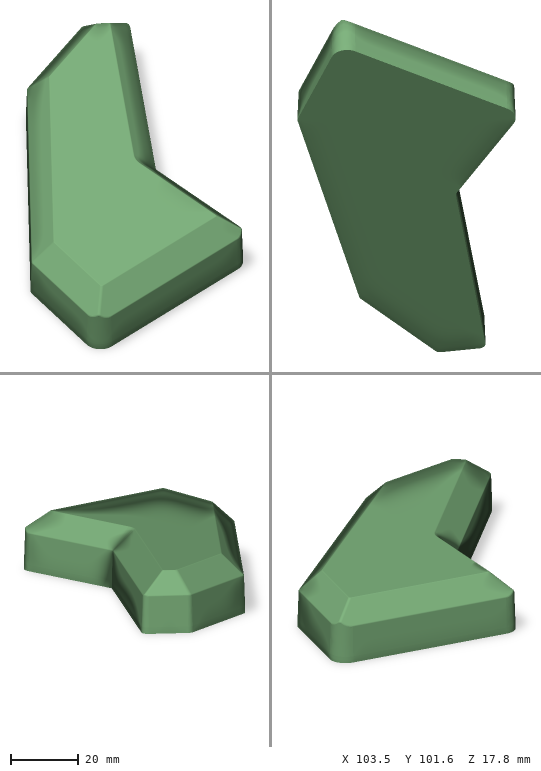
import cadquery as cq
import math

total_height = 17.8
skirt_height = 2.0
knee_height = 11.5
wall_height = knee_height - skirt_height
bevel_height = total_height - knee_height

wall_draft = 2.0
wall_inset = wall_height * math.tan(math.radians(wall_draft))
bevel_inset = 6.6
bevel_angle = math.degrees(math.atan2(bevel_inset, bevel_height))

large_corner_radius = 5.0
small_corner_radius = 2.0
fine_hip_radius = 1.0
break_radius = 0.5

square_corner = (0, 0)
inner_corner = (-40.3, 0)
tip_corner = (-94.8, 40.8)
tip_heel = (-103.7, 29.2)
back_corner = (-94.1, -2.8)
front_corner = (-34.7, -57.1)
toe_corner = (0, -62.4)
plan_corners = [
    square_corner,
    inner_corner,
    tip_corner,
    tip_heel,
    back_corner,
    front_corner,
    toe_corner,
]

corner_roundings = [
    (square_corner, large_corner_radius, fine_hip_radius),
    (toe_corner, large_corner_radius, fine_hip_radius),
    (tip_corner, small_corner_radius, fine_hip_radius),
    (tip_heel, small_corner_radius, small_corner_radius),
    (back_corner, small_corner_radius, small_corner_radius),
    (front_corner, small_corner_radius, small_corner_radius),
]


def plan_outline(base_height):
    """Sharp-cornered plan outline at the given height."""
    return cq.Workplane("XY", origin=(0, 0, base_height)).polyline(plan_corners).close()


def fillet_edge_near(body, corner, height, radius):
    """Round the edge whose middle is closest to a plan corner at a height."""
    nearest = cq.selectors.NearestToPointSelector((*corner, height))
    return body.edges(nearest).fillet(radius)


def make_walls():
    """Straight skirt with drafted walls above it, rounded at the outer corners."""
    skirt = plan_outline(0).extrude(skirt_height)
    for corner, upright_radius, _ in corner_roundings:
        skirt = fillet_edge_near(skirt, corner, skirt_height / 2, upright_radius)
    skirt_rim = skirt.faces(">Z").wires().toPending().workplane()
    return skirt_rim.extrude(total_height - skirt_height, taper=wall_draft)


def make_bevel_envelope():
    """Bevelled roof on a slab wider than the walls, so that only the bevel trims them."""
    roof = plan_outline(knee_height).offset2D(-wall_inset).extrude(bevel_height, taper=bevel_angle)
    for corner, _, hip_radius in corner_roundings:
        roof = fillet_edge_near(roof, corner, knee_height + bevel_height / 2, hip_radius)
    slab_margin = 1.0
    slab = plan_outline(0).offset2D(slab_margin).extrude(knee_height)
    return slab.union(roof)


def soften_edges(body):
    """Round the knee line, including where it climbs around the large corners, and the top rim."""
    knee_band_bottom = knee_height - 0.2
    knee_band_top = knee_height + bevel_height / 4
    reach = 2 * math.dist(tip_corner, toe_corner)
    knee_band = cq.selectors.BoxSelector((-reach, -reach, knee_band_bottom), (reach, reach, knee_band_top))
    softened = body.edges(knee_band).fillet(break_radius)
    return softened.faces(">Z").edges().fillet(break_radius)


body = make_walls().intersect(make_bevel_envelope())
result = soften_edges(body)